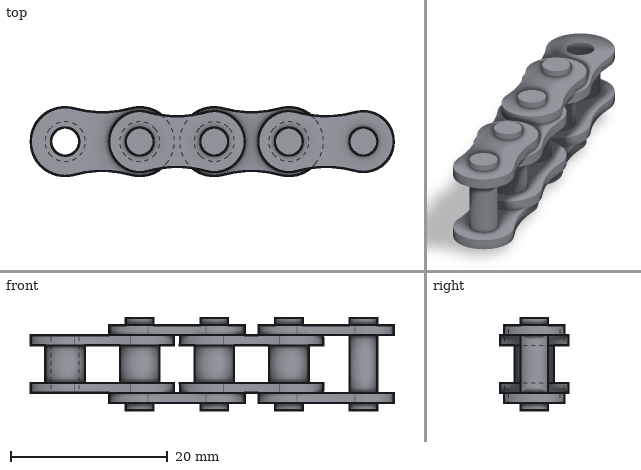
import cadquery as cq
import math

overall_length = 46.4
inner_end_radius = 4.4
outer_end_radius = 3.9
inner_waist_half_width = 3.75
outer_waist_half_width = 3.25
plate_thickness = 1.3
inner_gap = 4.8
pin_diameter = 3.55
pin_protrusion = 0.95
roller_diameter = 5.1
joint_count = 5

pitch = (overall_length - inner_end_radius - outer_end_radius) / (joint_count - 1)
joint_positions = [index * pitch for index in range(joint_count)]
roller_joints = joint_positions[:-1]
pin_joints = joint_positions[1:]
inner_plate_base = inner_gap / 2
outer_plate_base = inner_plate_base + plate_thickness
pin_length = 2 * (outer_plate_base + plate_thickness + pin_protrusion)
roller_length = 2 * outer_plate_base


def link_plate(start_x, base_z, end_radius, waist_half_width):
    """Plate with two round ends joined by concave waist arcs tangent to them."""
    half_pitch = pitch / 2
    waist_radius = (half_pitch**2 + waist_half_width**2 - end_radius**2) / (
        2 * (end_radius - waist_half_width)
    )
    tangent_ratio = end_radius / (end_radius + waist_radius)
    tangent_x = half_pitch * tangent_ratio
    tangent_y = math.sqrt(end_radius**2 - tangent_x**2)
    return (
        cq.Workplane("XY", origin=(start_x, 0, base_z))
        .moveTo(tangent_x, tangent_y)
        .threePointArc((half_pitch, waist_half_width), (pitch - tangent_x, tangent_y))
        .threePointArc((pitch + end_radius, 0), (pitch - tangent_x, -tangent_y))
        .threePointArc((half_pitch, -waist_half_width), (tangent_x, -tangent_y))
        .threePointArc((-end_radius, 0), (tangent_x, tangent_y))
        .close()
        .extrude(plate_thickness)
    )


def plate_pair(start_x, base_z, end_radius, waist_half_width):
    """Upper plate of a link together with its mirror image below."""
    upper_plate = link_plate(start_x, base_z, end_radius, waist_half_width)
    return upper_plate.union(upper_plate.mirror("XY"))


def cylinder(center_x, diameter, length):
    """Cylinder along Z, centred on the mid-plane of the chain."""
    return (
        cq.Workplane("XY", origin=(center_x, 0, -length / 2))
        .circle(diameter / 2)
        .extrude(length)
    )


chain = cylinder(roller_joints[0], roller_diameter, roller_length)
for joint_x in roller_joints[1:]:
    chain = chain.union(cylinder(joint_x, roller_diameter, roller_length))

for joint_x in roller_joints[::2]:
    chain = chain.union(
        plate_pair(joint_x, inner_plate_base, inner_end_radius, inner_waist_half_width)
    )

for joint_x in roller_joints[1::2]:
    chain = chain.union(
        plate_pair(joint_x, outer_plate_base, outer_end_radius, outer_waist_half_width)
    )

for joint_x in pin_joints:
    chain = chain.union(cylinder(joint_x, pin_diameter, pin_length))

result = chain.cut(cylinder(joint_positions[0], pin_diameter, roller_length))